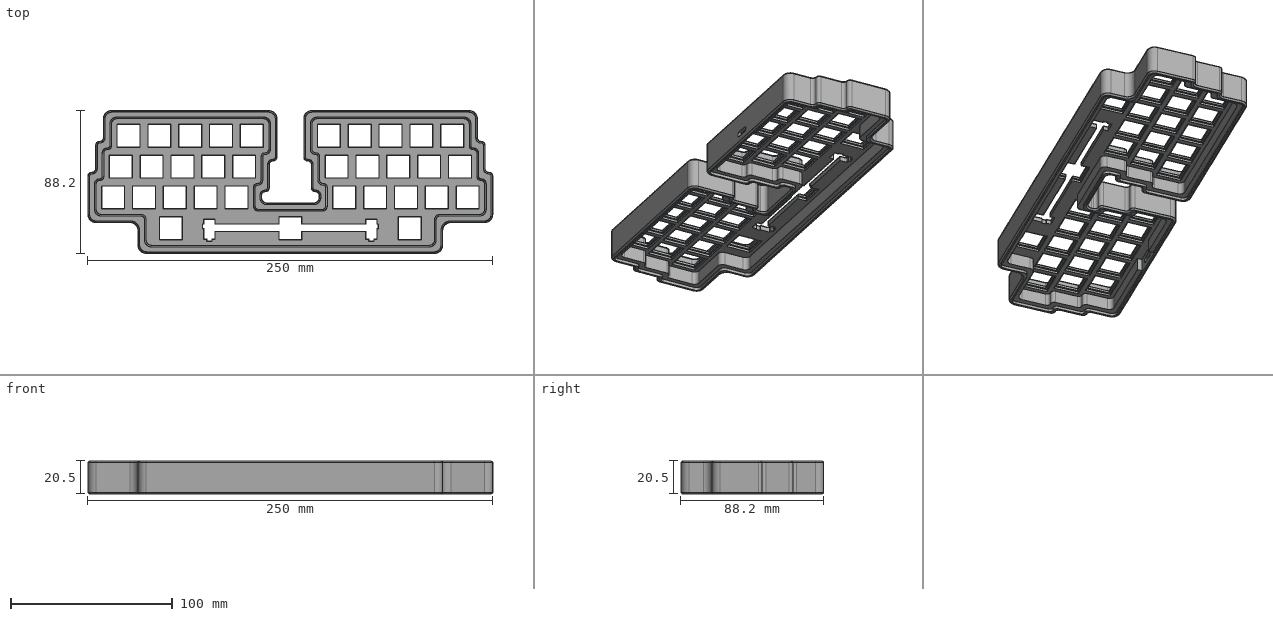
import cadquery as cq
LENGTH = 250.0
LENGTH_IN_UNITS = 12.5
RIM_MARGIN = 6.0
UNIT = (LENGTH - 2 * RIM_MARGIN) / LENGTH_IN_UNITS
ROW_STAGGER = UNIT / 4
ROWS = 4
FULL_ROWS = 3
KEYS_PER_HALF_ROW = 5
SWITCH_HOLE = 14.0
FIRST_KEY_X = 5.25 * UNIT
BOTTOM_KEY_X = 3.875 * UNIT
BOTTOM_KEY_WIDTH = 1.5 * UNIT
ROW_Y = [(ROWS / 2 - 0.5 - row) * UNIT for row in range(ROWS)]
SPACE_ROW_Y = ROW_Y[-1]

HEIGHT = 20.5
WALL = 5.0
EDGE_CHAMFER = 1.0
INNER_CHAMFER = 1.0
CORNER_RADIUS = 5.0
STEP_RADIUS = 2.35
NOTCH_RADIUS = 3.5
INNER_RADIUS = 3.3
INNER_STEP_RADIUS = 2.3
RABBET_WALL = 2.0
RABBET_HEIGHT = 2.0

PORT_X = -57.0
PORT_RECESS_WIDTH = 19.3
PORT_WALL = RABBET_WALL
PORT_SLOT_WIDTH = 10.0
PORT_SLOT_HEIGHT = 3.3
PORT_Z = 6.0

PLATE_DEPTH = 6.8
PLATE_THICKNESS = 3.0
CLIP_LIP = 1.5
CLIP_RELIEF = 1.0

STABILISER_X = 50.0
STABILISER_WIDTH = 6.8
STABILISER_TOP = 5.5
STABILISER_BOTTOM = -6.8
FOOT_WIDTH = 3.0
FOOT_BOTTOM = -8.0
SIDE_TAB_REACH = 4.3
SIDE_TAB_TOP = 2.5
SIDE_TAB_BOTTOM = -0.3
WIRE_SLOT_TOP = 2.5
WIRE_SLOT_BOTTOM = -2.0

TOLERANCE = 0.03


def half_outline(margin, corner, step, notch):
    """Right half of the outline, from the notch to the bottom edge.

    Each entry is (x, y, corner radius); margin is the distance outside the key cells.
    """
    outer = [FIRST_KEY_X + UNIT / 2 + row * ROW_STAGGER + margin for row in range(FULL_ROWS)]
    inner = [x - KEYS_PER_HALF_ROW * UNIT - 2 * margin for x in outer]
    bottom_x = BOTTOM_KEY_X + BOTTOM_KEY_WIDTH / 2 + margin
    return [
        (inner[2], -UNIT + margin, notch),
        (inner[2], -margin, step),
        (inner[1], -margin, step),
        (inner[1], UNIT - margin, step),
        (inner[0], UNIT - margin, step),
        (inner[0], 2 * UNIT + margin, corner),
        (outer[0], 2 * UNIT + margin, corner),
        (outer[0], UNIT + margin, step),
        (outer[1], UNIT + margin, step),
        (outer[1], margin, step),
        (outer[2], margin, step),
        (outer[2], -UNIT - margin, corner),
        (bottom_x, -UNIT - margin, corner),
        (bottom_x, -2 * UNIT - margin, corner),
    ]


def outline_prism(margin, corner, step, notch, bottom, top):
    """Mirror-symmetric prism of the outline with rounded vertical corners."""
    right = half_outline(margin, corner, step, notch)
    left = [(-x, y, radius) for x, y, radius in reversed(right)]
    corners = right + left
    prism = (
        cq.Workplane("XY")
        .workplane(offset=bottom)
        .polyline([(x, y) for x, y, _ in corners])
        .close()
        .extrude(top - bottom)
    )
    for radius in sorted({radius for _, _, radius in corners}):
        places = [(x, y) for x, y, r in corners if r == radius]
        picked = [
            edge for edge in prism.edges("|Z").vals()
            if any(abs(edge.Center().x - x) + abs(edge.Center().y - y) < TOLERANCE for x, y in places)
        ]
        prism = prism.newObject([prism.val().fillet(radius, picked)])
    return prism


def cavity(wall, bottom, top):
    """Space left inside a wall of the given thickness."""
    return outline_prism(RIM_MARGIN - wall, INNER_RADIUS, INNER_STEP_RADIUS, INNER_RADIUS, bottom, top)


def block(x_min, x_max, y_min, y_max, height=HEIGHT):
    """Cutter over a rectangle, from the base up to the given height."""
    size_x = x_max - x_min
    size_y = y_max - y_min
    return cq.Workplane("XY").box(size_x, size_y, height, centered=False).translate((x_min, y_min, 0))


def port_cutout(recess_top):
    """Recess inside the back wall and the round-ended slot through it."""
    back = 2 * UNIT + RIM_MARGIN
    half_width = PORT_RECESS_WIDTH / 2
    recess = block(PORT_X - half_width, PORT_X + half_width,
                   back - 1.5 * WALL, back - PORT_WALL, recess_top)
    slot = (
        cq.Workplane("XZ", origin=(PORT_X, back, PORT_Z))
        .slot2D(PORT_SLOT_WIDTH, PORT_SLOT_HEIGHT)
        .extrude(WALL)
    )
    return recess.union(slot)


def switch_centres():
    centres = [(0, SPACE_ROW_Y)]
    for side in (-1, 1):
        centres.append((side * BOTTOM_KEY_X, SPACE_ROW_Y))
        for row in range(FULL_ROWS):
            for key in range(KEYS_PER_HALF_ROW):
                x = FIRST_KEY_X + row * ROW_STAGGER - key * UNIT
                centres.append((side * x, ROW_Y[row]))
    return centres


def switch_holes(size, top):
    """Square cutters at every switch, from the base up to the given height."""
    return cq.Workplane("XY").pushPoints(switch_centres()).rect(size, size).extrude(top)


def stabiliser_cutout():
    """Right stabiliser housing with its foot, side tab and wire slot to the centre hole."""
    y = SPACE_ROW_Y
    half_width = STABILISER_WIDTH / 2
    half_foot = FOOT_WIDTH / 2
    housing = block(STABILISER_X - half_width, STABILISER_X + half_width,
                    y + STABILISER_BOTTOM, y + STABILISER_TOP)
    side_tab = block(STABILISER_X, STABILISER_X + SIDE_TAB_REACH,
                     y + SIDE_TAB_BOTTOM, y + SIDE_TAB_TOP)
    wire_slot = block(0, STABILISER_X, y + WIRE_SLOT_BOTTOM, y + WIRE_SLOT_TOP)
    foot = block(STABILISER_X - half_foot, STABILISER_X + half_foot, y + FOOT_BOTTOM, y)
    return housing.union(side_tab).union(wire_slot).union(foot)


plate_top = HEIGHT - PLATE_DEPTH
plate_bottom = plate_top - PLATE_THICKNESS

body = outline_prism(RIM_MARGIN, CORNER_RADIUS, STEP_RADIUS, NOTCH_RADIUS, 0, HEIGHT)
body = body.faces("<Z or >Z").edges().chamfer(EDGE_CHAMFER)
body = body.cut(cavity(WALL, plate_top, HEIGHT))
body = body.cut(cavity(WALL, 0, plate_bottom))
body = body.cut(cavity(RABBET_WALL, 0, RABBET_HEIGHT))
opening = body.faces(">Z").val().innerWires()[0]
body = body.newObject([body.val().chamfer(INNER_CHAMFER, None, opening.Edges())])

body = body.cut(port_cutout(plate_bottom))
body = body.cut(switch_holes(SWITCH_HOLE, HEIGHT))
body = body.cut(switch_holes(SWITCH_HOLE + 2 * CLIP_RELIEF, plate_top - CLIP_LIP))
right_stabiliser = stabiliser_cutout()
left_stabiliser = right_stabiliser.mirror("YZ")
result = body.cut(right_stabiliser).cut(left_stabiliser)